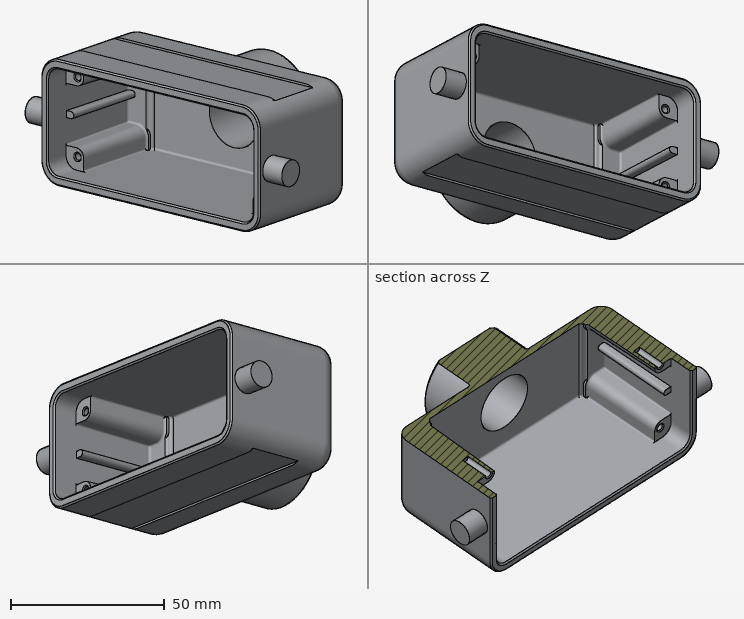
import cadquery as cq
body_width = 93.3
body_height = 43.0
body_depth = 45.0
corner_radius = 7.5
rear_fillet = 5.0
rim_chamfer = 0.5

total_depth = 61.0
boss_diameter = 37.2
boss_chamfer = 0.9
boss_base_fillet = 0.82
entry_diameter = 21.0

recess_length = 85.4
recess_start = 12.8
recess_end = 31.8
recess_depth = 0.8

pin_span = 109.5
pin_diameter = 9.0
pin_y = 6.1

cavity_width = 87.5
cavity_height = 36.6
cavity_corner = 4.4
cavity_draft = 0.6
cavity_depth = 42.3
step_fillet = 1.0
ledge_depth = cavity_depth - 2 * step_fillet
ledge_x = 34.8
mouth_chamfer = 0.5
base_fillet = 0.8

screw_x = 38.8
screw_z = 13.6
post_inner_x = 35.6
post_inner_z = 10.0
post_base_radius = 3.6
post_draft = 1.1
post_front = 9.2
post_side_fillet = 0.5
post_size = 4 * post_base_radius
screw_diameter = 2.4
screw_chamfer = 0.38
screw_depth = 11.0

rib_diameter = 2.4
rib_x = 41.7
rib_front = 9.4

margin = 0.05

SIDES = (-1, 1)


def plane_at(y):
    """XZ plane at depth y; a negative extrusion goes towards +Y."""
    return cq.Workplane("XZ", origin=(0, y, 0))


def make_body():
    body = plane_at(0).rect(body_width, body_height).extrude(-body_depth)
    body = body.edges("|Y").fillet(corner_radius)
    body = body.faces(">Y").edges().fillet(rear_fillet)
    return body.faces("<Y").edges().chamfer(rim_chamfer)


def add_boss(body):
    boss_start = body_depth / 2
    boss = plane_at(boss_start).circle(boss_diameter / 2).extrude(boss_start - total_depth)
    boss = boss.faces(">Y").edges().chamfer(boss_chamfer)
    return body.union(boss)


def fillet_boss_base(body):
    reach = boss_diameter / 2 + margin
    base = cq.selectors.BoxSelector(
        (-reach, body_depth - rear_fillet, -reach),
        (reach, body_depth + margin, reach),
        boundingbox=True,
    )
    return body.edges(base).fillet(boss_base_fillet)


def make_recesses():
    recesses = cq.Workplane("XY")
    center_y = (recess_start + recess_end) / 2
    for side in SIDES:
        cutter = cq.Workplane("XY").box(recess_length, recess_end - recess_start, 2 * recess_depth)
        recesses = recesses.add(cutter.translate((0, center_y, side * body_height / 2)))
    return recesses.combine()


def make_pins():
    pins = cq.Workplane("YZ", origin=(-pin_span / 2, 0, 0))
    return pins.center(pin_y, 0).circle(pin_diameter / 2).extrude(pin_span)


def rounded_square(y, size, radius):
    return plane_at(y).sketch().rect(size, size).vertices().fillet(radius).finalize()


def make_post(side_x, side_z):
    """Tapered corner post with a flared foot; its outer part runs on into the cavity walls."""
    height = ledge_depth - post_front
    post = rounded_square(ledge_depth, post_size, post_base_radius).extrude(height, taper=post_draft)
    foot_radius = post_base_radius + base_fillet + margin
    foot_size = post_size + 2 * (base_fillet + margin)
    foot = rounded_square(ledge_depth, foot_size, foot_radius).extrude(ledge_depth - body_depth)
    post = post.union(foot)
    reach = post_size / 2 + margin
    junction = cq.selectors.BoxSelector(
        (-reach, ledge_depth - margin, -reach),
        (reach, ledge_depth + margin, reach),
        boundingbox=True,
    )
    post = post.edges(junction).fillet(base_fillet)
    center_x = side_x * (post_inner_x + post_size / 2)
    center_z = side_z * (post_inner_z + post_size / 2)
    post = post.translate((center_x, 0, center_z))
    end_zone = cq.Workplane("XY").box(body_width, 2 * body_depth, body_height)
    return post.intersect(end_zone.translate((side_x * (ledge_x + body_width / 2), 0, 0)))


def make_screw_hole(side_x, side_z):
    start = plane_at(post_front).center(side_x * screw_x, side_z * screw_z)
    hole = start.circle(screw_diameter / 2).extrude(-screw_depth)
    mouth = start.circle(screw_diameter / 2 + screw_chamfer).workplane(offset=-screw_chamfer)
    return hole.union(mouth.circle(screw_diameter / 2).loft())


def make_rib(side):
    start = plane_at(rib_front)
    length = cavity_depth - rib_front
    round_edge = start.center(side * rib_x, 0).circle(rib_diameter / 2).extrude(-length)
    root = start.center(side * (rib_x + rib_diameter), 0).rect(2 * rib_diameter, rib_diameter).extrude(-length)
    return round_edge.union(root)


def make_ledge(side):
    """End step whose edge and foot are rounded into an S-shaped transition."""
    outer_x = body_width / 2
    profile = (
        cq.Workplane("XY", origin=(0, 0, -body_height / 2))
        .moveTo(outer_x, ledge_depth)
        .lineTo(ledge_x + step_fillet, ledge_depth)
        .radiusArc((ledge_x, ledge_depth + step_fillet), -step_fillet)
        .radiusArc((ledge_x - step_fillet, cavity_depth), step_fillet)
        .lineTo(ledge_x - step_fillet, body_depth)
        .lineTo(outer_x, body_depth)
        .close()
        .extrude(body_height)
    )
    return profile if side > 0 else profile.mirror("YZ")


def fillet_cavity_floor(cavity):
    """Round the foot of the long walls and of the end walls."""
    half_width = body_width / 2
    half_height = body_height / 2
    long_wall_z = cavity_height / 2 - cavity_corner
    end_wall_x = cavity_width / 2 - cavity_corner / 2
    foot_edges = cq.Workplane("XY")
    for side in SIDES:
        long_wall = cq.selectors.BoxSelector(
            (-half_width, ledge_depth - margin, side * half_height),
            (half_width, body_depth, side * long_wall_z),
            boundingbox=True,
        )
        end_wall = cq.selectors.BoxSelector(
            (side * half_width, ledge_depth - margin, -half_height),
            (side * end_wall_x, body_depth, half_height),
            boundingbox=True,
        )
        foot_edges = foot_edges.add(cavity.edges(long_wall)).add(cavity.edges(end_wall))
    return cavity.newObject(foot_edges.vals()).fillet(base_fillet)


def fillet_post_sides(cavity):
    """Round the long corners where the posts meet the long walls and the end walls."""
    def is_wall_corner(edge):
        bounds = edge.BoundingBox()
        center = edge.Center()
        runs_along_post = bounds.ylen > cavity_depth / 2
        at_end_wall = abs(center.x) > rib_x
        at_long_wall = abs(center.z) > cavity_height / 2 - cavity_corner / 2
        return runs_along_post and (at_end_wall or at_long_wall)

    return cavity.edges().filter(is_wall_corner).fillet(post_side_fillet)


def make_cavity():
    cavity = (
        plane_at(0)
        .sketch()
        .rect(cavity_width, cavity_height)
        .vertices()
        .fillet(cavity_corner)
        .finalize()
        .extrude(-cavity_depth, taper=cavity_draft)
    )
    for side in SIDES:
        cavity = cavity.cut(make_ledge(side))
    cavity = fillet_cavity_floor(cavity)
    for side_x in SIDES:
        for side_z in SIDES:
            cavity = cavity.cut(make_post(side_x, side_z))
    cavity = fillet_post_sides(cavity)
    for side in SIDES:
        cavity = cavity.cut(make_rib(side))
    return cavity


def chamfer_mouth(part):
    mouth = cq.selectors.BoxSelector(
        (-cavity_width / 2 - margin, -margin, -cavity_height / 2 - margin),
        (cavity_width / 2 + margin, margin, cavity_height / 2 + margin),
        boundingbox=True,
    )
    return part.edges(mouth).chamfer(mouth_chamfer)


result = fillet_boss_base(add_boss(make_body()))
result = result.cut(make_recesses()).union(make_pins())
result = result.cut(make_cavity())
result = chamfer_mouth(result)
result = result.cut(plane_at(0).circle(entry_diameter / 2).extrude(-total_depth))
for side_x in SIDES:
    for side_z in SIDES:
        result = result.cut(make_screw_hole(side_x, side_z))